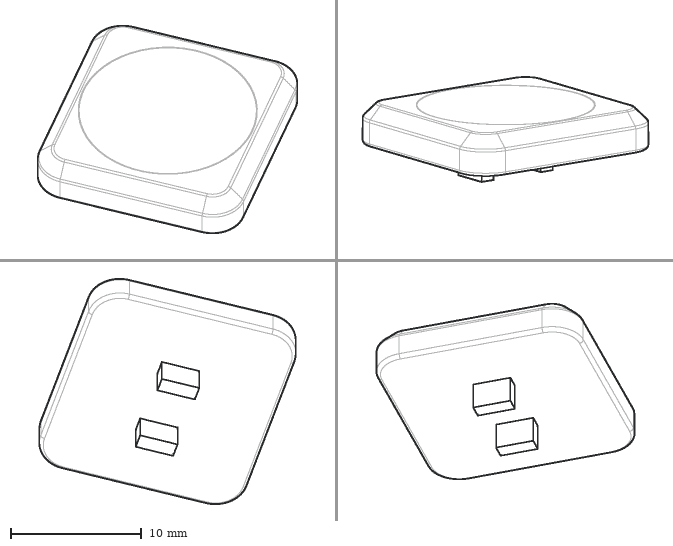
import cadquery as cq

length_x = 16.5
length_y = 17.5
overall_height = 5.34
body_height = 3.2
corner_radius = 2.5
top_chamfer = 1.12
edge_radius = 0.3

dish_radius = 6.82
dish_depth = 0.8
dish_sphere_radius = (dish_radius**2 + dish_depth**2) / (2 * dish_depth)

tab_width = 3.0
tab_thickness = 1.15
tab_length = overall_height - body_height
tab_spacing = 5.69


def make_body():
    """Rounded block, bevelled on top, with softened bevel and bottom edges."""
    bevel_base = body_height - top_chamfer
    block = (
        cq.Workplane("XY")
        .rect(length_x, length_y)
        .extrude(body_height)
        .edges("|Z")
        .fillet(corner_radius)
        .faces(">Z")
        .chamfer(top_chamfer)
    )
    block = block.faces("<Z").edges().fillet(edge_radius)
    search_margin = 0.02
    bevel_edges = cq.selectors.BoxSelector(
        (-length_x, -length_y, bevel_base - search_margin),
        (length_x, length_y, body_height + search_margin),
        boundingbox=True,
    )
    level_edges = [
        edge for edge in block.edges(bevel_edges).vals()
        if edge.BoundingBox().zlen < search_margin
    ]
    return block.newObject(level_edges).fillet(edge_radius)


def cut_dish(body):
    """Hollow the top into a shallow spherical dish and round its rim."""
    sphere_centre_z = body_height - dish_depth + dish_sphere_radius
    sphere = cq.Workplane("XY").sphere(dish_sphere_radius).translate((0, 0, sphere_centre_z))
    dished = body.cut(sphere)
    rim = dished.faces("+Z").faces(">Z").edges(cq.selectors.RadiusNthSelector(-1))
    return rim.fillet(edge_radius)


def make_tabs():
    """Two rectangular tabs hanging from the underside, side by side along Y."""
    return (
        cq.Workplane("XY")
        .pushPoints([(0, -tab_spacing / 2), (0, tab_spacing / 2)])
        .rect(tab_width, tab_thickness)
        .extrude(-tab_length)
    )


result = cut_dish(make_body()).union(make_tabs())